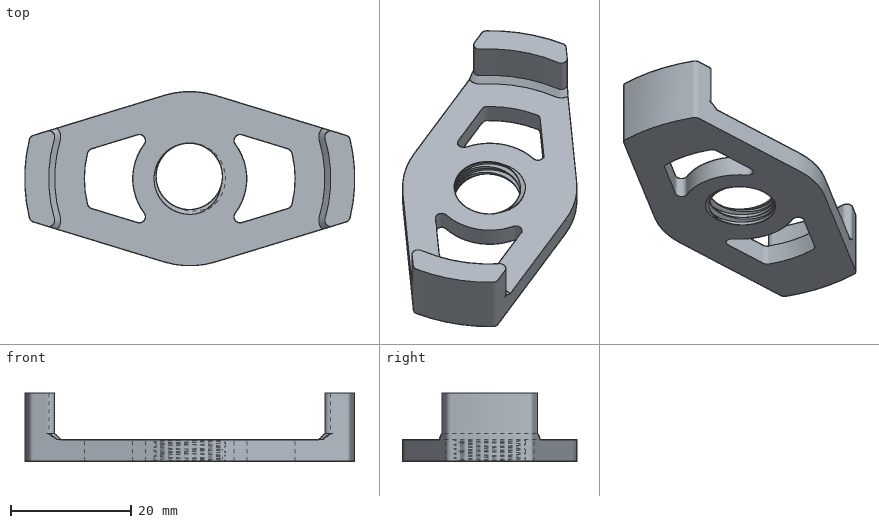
import cadquery as cq
import math

end_radius = 27.455
waist_radius = 14.5
side_angle = 17.0
plate_thickness = 3.64
total_height = 11.39

lip_thickness = 4.0
lip_inner_radius = end_radius - lip_thickness
lip_corner_radius = 1.0
lip_base_chamfer = 1.0
flare_angle = 45.0

window_inner_radius = 9.5
window_outer_radius = 17.5
rail_width = 5.0
window_corner_radius = 1.0

bore_radius = 5.5
bore_offset_x = -0.08
bore_offset_y = 0.38
thread_pitch = 1.5
thread_root_radius = 5.93
thread_root_flat = 0.68
thread_flank_angle = 24.0
thread_exit_angle = 285.0
thread_tip_radius = 5.05


def diamond(inscribed_radius, height):
    """Four-sided prism whose sloping sides touch a circle about the Z axis."""
    half_width = inscribed_radius / math.cos(math.radians(side_angle))
    half_length = inscribed_radius / math.sin(math.radians(side_angle))
    corners = [(half_length, 0), (0, half_width), (-half_length, 0), (0, -half_width)]
    return cq.Workplane("XY").polyline(corners).close().extrude(height)


def cylinder(radius, height):
    return cq.Workplane("XY").circle(radius).extrude(height)


def half_space(side, height):
    """Box covering the +X (side = 1) or -X (side = -1) half of the part."""
    size = 2 * end_radius
    return cq.Workplane("XY").center(side * size / 2, 0).rect(size, size).extrude(height)


def make_outline(height):
    """Prism of the outer contour: sloping sides, rounded waist and rounded ends."""
    sides = diamond(waist_radius, height)
    sides = sides.edges("|Z").edges(">Y or <Y").fillet(waist_radius)
    outline = sides.intersect(cylinder(end_radius, height))
    for end in (">X", "<X"):
        end_face = outline.faces(end)
        outline = end_face.edges("|Z").fillet(lip_corner_radius)
    return outline


def make_lip(side, outline):
    """Upright lip at one end, with a chamfered flare where it meets the plate."""
    lip = outline.cut(cylinder(lip_inner_radius, total_height))
    lip = lip.intersect(half_space(side, total_height))
    inner_edges = "<X" if side > 0 else ">X"
    lip = lip.edges("|Z").edges(inner_edges).fillet(lip_corner_radius)

    flare_top = plate_thickness + lip_base_chamfer
    lip_wire = lip.faces("<Z").wires().val().translate(cq.Vector(0, 0, flare_top))
    flare = (
        cq.Workplane("XY", origin=(0, 0, flare_top))
        .add(lip_wire)
        .toPending()
        .extrude(-lip_base_chamfer, taper=-flare_angle)
        .intersect(outline)
    )
    return lip.union(flare)


def make_window(side):
    """Opening between the hub and an end, its sides parallel to the long sides."""
    core_inscribed_radius = waist_radius - rail_width - window_corner_radius
    core = diamond(core_inscribed_radius, plate_thickness)
    core = core.intersect(cylinder(window_outer_radius - window_corner_radius, plate_thickness))
    core = core.cut(cylinder(window_inner_radius + window_corner_radius, plate_thickness))
    core = core.intersect(half_space(side, plate_thickness))
    core_wire = core.faces("<Z").wires()
    return core_wire.toPending().offset2D(window_corner_radius).extrude(plate_thickness)


def make_thread_cutter():
    """Right-handed helical groove with a flat root, running past both plate faces."""
    flank_rise = (thread_root_radius - thread_tip_radius) * math.tan(math.radians(thread_flank_angle))
    root_half = thread_root_flat / 2
    tip_half = root_half + flank_rise
    turns_below = math.ceil(plate_thickness / thread_pitch) + 1
    start_z = plate_thickness + root_half - turns_below * thread_pitch
    helix_height = (turns_below + 1) * thread_pitch

    path = cq.Wire.makeHelix(thread_pitch, helix_height, thread_root_radius)
    groove = (
        cq.Workplane("XZ")
        .polyline([
            (thread_tip_radius, -tip_half),
            (thread_root_radius, -root_half),
            (thread_root_radius, root_half),
            (thread_tip_radius, tip_half),
        ])
        .close()
        .sweep(cq.Workplane(path), isFrenet=True)
    )
    return groove.rotate((0, 0, 0), (0, 0, 1), thread_exit_angle).translate((0, 0, start_z))


full_height_outline = make_outline(total_height)
result = make_outline(plate_thickness)
for side in (1, -1):
    result = result.union(make_lip(side, full_height_outline))
    result = result.cut(make_window(side))

bore_offset = (bore_offset_x, bore_offset_y, 0)
result = result.cut(make_thread_cutter())
result = result.cut(cylinder(bore_radius, plate_thickness).translate(bore_offset))